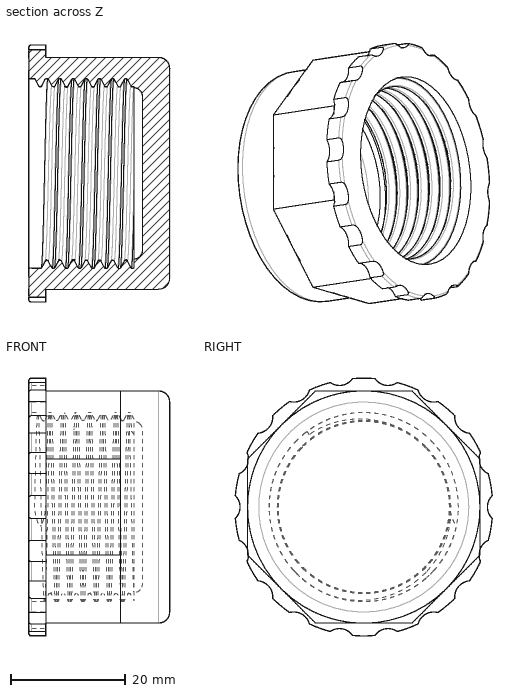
import cadquery as cq
import math


total_length = 24.7
flange_thickness = 3.0
octagon_end = 16.1

body_radius = 20.35
cap_edge_radius = 1.95
octagon_sides = 8

flange_radius = 22.6
flange_edge_radius = 0.45
notch_count = 18
notch_radius = 2.8
notch_floor_radius = 21.68

bore_radius = 16.57
bore_depth = 18.4
pocket_radius = 15.0
pocket_fillet = 1.5
pocket_depth = bore_depth + pocket_fillet

thread_pitch = 2.309
thread_major_radius = 16.6245
thread_height = 0.640327 * thread_pitch
thread_rounding = 0.137329 * thread_pitch
thread_minor_radius = thread_major_radius - thread_height
flank_angle = math.radians(55 / 2)
root_end_angle = math.radians(70)
ridge_start = 2.0
ridge_embed = 0.3
ridge_length = bore_depth - ridge_start + thread_pitch / 4

runout_radius = 5.6
runout_angle = 45


def make_body():
    """Round cap and octagonal grip, both with the same inscribed radius."""
    cap = (
        cq.Workplane("XY")
        .workplane(offset=octagon_end)
        .circle(body_radius)
        .extrude(total_length - octagon_end)
        .faces(">Z")
        .edges()
        .fillet(cap_edge_radius)
    )
    half_corner_angle = math.pi / octagon_sides
    corner_diameter = 2 * body_radius / math.cos(half_corner_angle)
    octagon = (
        cq.Workplane("XY")
        .workplane(offset=flange_thickness)
        .polygon(octagon_sides, corner_diameter)
        .extrude(octagon_end - flange_thickness)
        .rotate((0, 0, 0), (0, 0, 1), math.degrees(half_corner_angle))
    )
    return octagon.union(cap)


def make_flange():
    """Flange with a rounded outer edge on its open end and scalloped notches all round."""
    flange = (
        cq.Workplane("XY")
        .circle(flange_radius)
        .extrude(flange_thickness)
        .faces("<Z")
        .edges()
        .fillet(flange_edge_radius)
    )
    notches = (
        cq.Workplane("XY")
        .polarArray(notch_floor_radius + notch_radius, 0, 360, notch_count)
        .circle(notch_radius)
        .extrude(flange_thickness)
    )
    return flange.cut(notches)


def make_cavity():
    """Threaded bore followed by a narrower pocket with a rounded floor edge."""
    pocket_floor_radius = pocket_radius - pocket_fillet
    fillet_middle = (
        pocket_floor_radius + pocket_fillet * math.sin(math.pi / 4),
        bore_depth + pocket_fillet * math.cos(math.pi / 4),
    )
    return (
        cq.Workplane("XZ")
        .lineTo(bore_radius, 0)
        .lineTo(bore_radius, bore_depth)
        .lineTo(pocket_radius, bore_depth)
        .threePointArc(fillet_middle, (pocket_floor_radius, pocket_depth))
        .lineTo(0, pocket_depth)
        .close()
        .revolve(360, (0, 0, 0), (0, 1, 0))
    )


def ridge_profile():
    """Ridge section in the XZ plane at the ridge start, rooted slightly inside the bore wall."""
    root_center_radius = thread_major_radius - thread_rounding

    def root_point(angle, side):
        offset = thread_pitch / 2 - thread_rounding * math.cos(angle)
        return (root_center_radius + thread_rounding * math.sin(angle), ridge_start + side * offset)

    def crest_point(side):
        return (
            thread_minor_radius + thread_rounding * (1 - math.sin(flank_angle)),
            ridge_start + side * thread_rounding * math.cos(flank_angle),
        )

    def embedded_point(side):
        return (bore_radius + ridge_embed, root_point(root_end_angle, side)[1])

    arc_middle_angle = (root_end_angle + flank_angle) / 2
    return (
        cq.Workplane("XZ")
        .moveTo(*embedded_point(-1))
        .lineTo(*root_point(root_end_angle, -1))
        .threePointArc(root_point(arc_middle_angle, -1), root_point(flank_angle, -1))
        .lineTo(*crest_point(-1))
        .threePointArc((thread_minor_radius, ridge_start), crest_point(1))
        .lineTo(*root_point(flank_angle, 1))
        .threePointArc(root_point(arc_middle_angle, 1), root_point(root_end_angle, 1))
        .lineTo(*embedded_point(1))
        .close()
    )


def make_runout():
    """First end of the ridge, curving away into the bore wall."""
    axis_radius = thread_minor_radius + runout_radius
    return ridge_profile().revolve(runout_angle, (axis_radius, 0, 0), (axis_radius, 1, 0))


def make_ridge():
    """Right-handed helical ridge running on into the step at the end of the bore."""
    helix = cq.Wire.makeHelix(
        thread_pitch, ridge_length, bore_radius, center=cq.Vector(0, 0, ridge_start)
    )
    return ridge_profile().sweep(cq.Workplane(obj=helix), isFrenet=True)


def sew_hollow_part(blank, plain_cavity, threaded_cavity):
    """Blank with the threaded cavity inside, sewn from faces.

    Thread and blank meet nowhere, so only the open end face has to be trimmed; a boolean cut
    gives the same solid but takes far longer on the helical faces.
    """
    open_end = blank.cut(plain_cavity).faces("<Z").vals()
    outer_faces = blank.faces("not(<Z)").vals()
    inner_faces = threaded_cavity.faces("not(<Z)").vals()
    shell = cq.Shell.makeShell(open_end + outer_faces + inner_faces)
    return cq.Workplane(obj=cq.Solid.makeSolid(shell))


nut_blank = make_body().union(make_flange())
cavity = make_cavity()
cavity_with_thread = cavity.cut(make_ridge()).cut(make_runout())
nut = sew_hollow_part(nut_blank, cavity, cavity_with_thread)

result = nut.rotate((0, 0, 0), (1, 1, 1), 120)